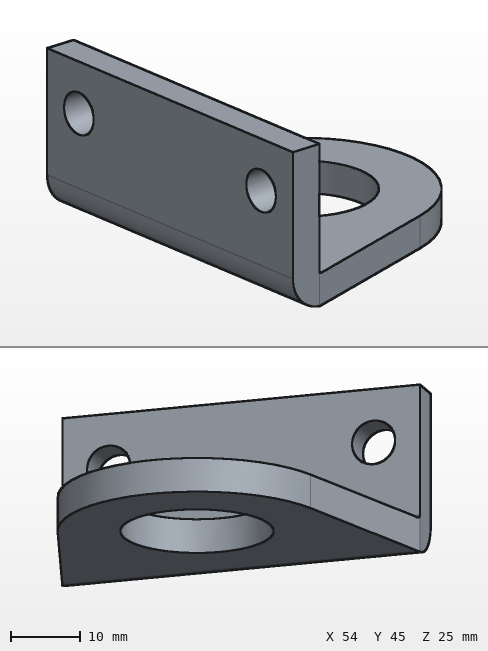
import cadquery as cq
import math

width = 54.0
height = 25.0
thickness = 5.0
inner_bend_radius = 0.5
outer_bend_radius = thickness + inner_bend_radius

eye_radius = 20.0
eye_center_y = 25.0
eye_bore_diameter = 22.0
depth = eye_center_y + eye_radius

mount_hole_diameter = 6.5
mount_hole_spacing = 40.0
mount_hole_z = 17.0


def bent_sheet():
    """L-shaped sheet with concentric bend radii, still at full width everywhere."""
    diagonal = math.sqrt(0.5)
    outer_mid = outer_bend_radius * (1 - diagonal)
    inner_mid = outer_bend_radius - inner_bend_radius * diagonal
    profile = (
        cq.Workplane("YZ")
        .moveTo(outer_bend_radius, 0)
        .threePointArc((outer_mid, outer_mid), (0, outer_bend_radius))
        .lineTo(0, height)
        .lineTo(thickness, height)
        .lineTo(thickness, outer_bend_radius)
        .threePointArc((inner_mid, inner_mid), (outer_bend_radius, thickness))
        .lineTo(depth, thickness)
        .lineTo(depth, 0)
        .close()
    )
    return profile.extrude(width / 2, both=True)


def plan_outline():
    """Prism whose sides taper from the flange's inner face, tangent into the eye."""
    half_width = width / 2
    taper_length = eye_center_y - thickness
    corner_distance = math.hypot(half_width, taper_length)
    corner_angle = math.atan2(-taper_length, half_width)
    tangent_angle = corner_angle + math.acos(eye_radius / corner_distance)
    tangent_x = eye_radius * math.cos(tangent_angle)
    tangent_y = eye_center_y + eye_radius * math.sin(tangent_angle)
    return (
        cq.Workplane("XY")
        .moveTo(-half_width, 0)
        .lineTo(half_width, 0)
        .lineTo(half_width, thickness)
        .lineTo(tangent_x, tangent_y)
        .threePointArc((0, depth), (-tangent_x, tangent_y))
        .lineTo(-half_width, thickness)
        .close()
        .extrude(height)
    )


def eye_bore():
    return (
        cq.Workplane("XY")
        .center(0, eye_center_y)
        .circle(eye_bore_diameter / 2)
        .extrude(thickness)
    )


def mount_holes():
    half_spacing = mount_hole_spacing / 2
    return (
        cq.Workplane("XZ")
        .pushPoints([(-half_spacing, mount_hole_z), (half_spacing, mount_hole_z)])
        .circle(mount_hole_diameter / 2)
        .extrude(-thickness)
    )


result = bent_sheet().intersect(plan_outline()).cut(eye_bore()).cut(mount_holes())